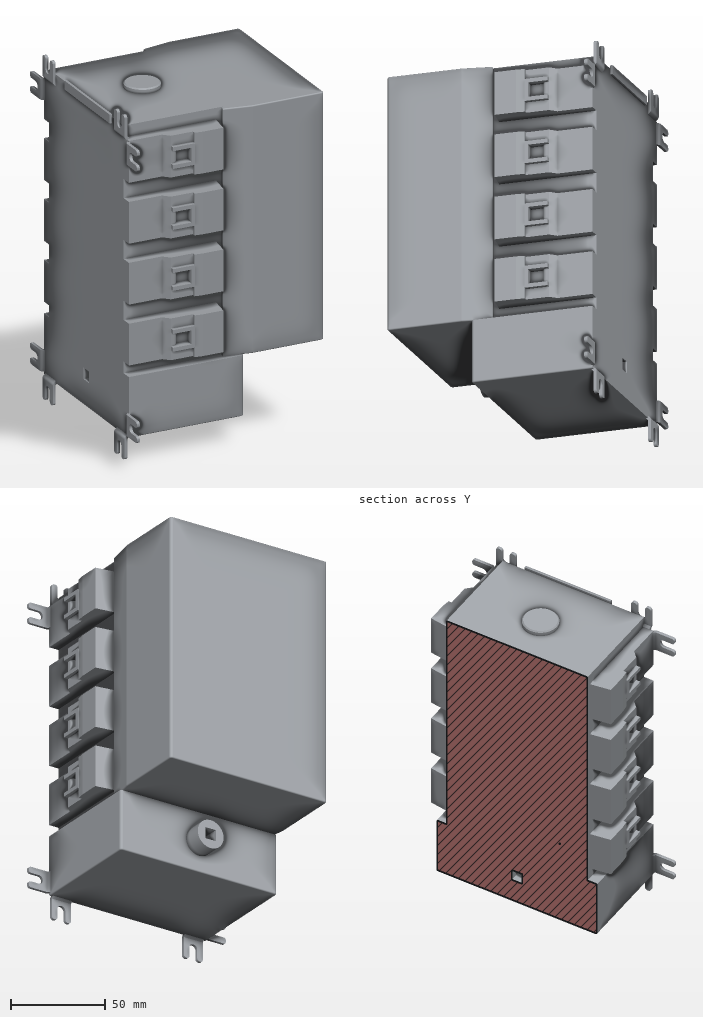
import cadquery as cq
import math

BODY_WIDTH = 100.0
BODY_HEIGHT = 177.3
BODY_DEPTH = 116.25
HALF_WIDTH = BODY_WIDTH / 2
CORNER_RADIUS = 1.5
RIM_RADIUS = 0.7
LIP_RADIUS = 0.4

BOX_HEIGHT = 35.0
BOX_DEPTH = 68.5
BUTTON_DIAMETER = 16.5
BUTTON_BACK = 79.7
BUTTON_Z = 17.65
WINDOW_SIZE = 6.5

CORE_WIDTH = 88.0
HALF_CORE = CORE_WIDTH / 2
CORE_DEPTH = 90.0
COVER_TAPER_START = 74.0
COVER_LIP_FRONT = 57.5
COVER_LIP_HALF_WIDTH = 47.0
COVER_STEP_FRONT = 58.2

CAP_DIAMETER = 20.0
CAP_HEIGHT = 3.0
CAP_CHAMFER = 0.7
CAP_Y = 33.3

STRIP_WIDTH = 53.5
STRIP_X = 3.7
STRIP_HEIGHT = 5.1
STRIP_THICKNESS = 1.5
STRIP_OVERHANG = 1.6

TERMINAL_COUNT = 4
TERMINAL_HEIGHT = 24.0
TERMINAL_PITCH = 35.0
TERMINAL_MARGIN = (
    BODY_HEIGHT - BOX_HEIGHT - TERMINAL_HEIGHT - (TERMINAL_COUNT - 1) * TERMINAL_PITCH
) / 2
TERMINAL_OUT = 56.0
TERMINAL_BACK_OUTER = 53.2
TERMINAL_BACK_INNER = 54.9
FLANK_BACK = 41.0
FLANK_DRAFT = 0.6
RECESS_BACK = 36.4
RECESS_FRONT = 23.3
RECESS_DEPTH = 2.5
RECESS_FLOOR_X = TERMINAL_OUT - RECESS_DEPTH
CHAMFER_RUN = RECESS_FLOOR_X - HALF_WIDTH

CLIP_HEIGHT = 12.4
POCKET_HEIGHT = 8.0
POCKET_BACK = 34.3
POCKET_DEPTH = 5.0
SILL_BACK = 27.1
SILL_DEPTH = 2.5
SILL_RADIUS = 2.2

TAB_REACH = 13.005
TAB_WIDTH = 12.2
TAB_THICKNESS = 1.75
TAB_SLOT_WIDTH = 5.0
TAB_SLOT_LENGTH = 9.0
TAB_TIP_RADIUS = 1.5
TAB_CORNER_OFFSET = 7.85
PLATE_HEIGHT = 171.7

CUT_MARGIN = 1.0


def make_lower_box():
    box = cq.Workplane("XY").box(BODY_WIDTH, BOX_DEPTH, BOX_HEIGHT, centered=(True, False, False))
    box = box.edges("|Z and >Y").fillet(CORNER_RADIUS)
    return box.faces("<Z").edges("not <Y").fillet(RIM_RADIUS)


def make_cover():
    step_slope = (COVER_STEP_FRONT - COVER_LIP_FRONT) / (COVER_LIP_HALF_WIDTH - HALF_CORE)
    valley_y = COVER_LIP_FRONT + step_slope * COVER_LIP_HALF_WIDTH
    right_side = [
        (COVER_LIP_HALF_WIDTH, COVER_LIP_FRONT),
        (HALF_WIDTH, COVER_TAPER_START),
        (HALF_WIDTH, BODY_DEPTH),
    ]
    left_side = [(-x, y) for x, y in reversed(right_side)]
    cover = (
        cq.Workplane("XY")
        .workplane(offset=BOX_HEIGHT)
        .moveTo(0, valley_y)
        .polyline(right_side + left_side, includeCurrent=True)
        .close()
        .extrude(BODY_HEIGHT - BOX_HEIGHT)
    )
    cover = cover.edges("|Z and >Y").fillet(CORNER_RADIUS)
    cover = cover.edges("|Z and <Y").fillet(LIP_RADIUS)
    seat = cover.intersect(
        cq.Workplane("XY")
        .box(BODY_WIDTH, BOX_DEPTH - CORNER_RADIUS, RIM_RADIUS, centered=(True, False, False))
        .translate((0, 0, BOX_HEIGHT))
    )
    return cover.faces("<Z or >Z").edges().fillet(RIM_RADIUS).union(seat)


def make_core():
    return (
        cq.Workplane("XY")
        .box(CORE_WIDTH, CORE_DEPTH, BODY_HEIGHT - BOX_HEIGHT, centered=(True, False, False))
        .translate((0, 0, BOX_HEIGHT))
    )


def make_cap():
    return (
        cq.Workplane("XY")
        .workplane(offset=BODY_HEIGHT)
        .center(0, CAP_Y)
        .circle(CAP_DIAMETER / 2)
        .extrude(CAP_HEIGHT)
        .faces(">Z")
        .chamfer(CAP_CHAMFER)
    )


def make_strip():
    bottom = BODY_HEIGHT + STRIP_OVERHANG - STRIP_HEIGHT
    return (
        cq.Workplane("XY")
        .box(STRIP_WIDTH, STRIP_THICKNESS, STRIP_HEIGHT, centered=(True, False, False))
        .translate((STRIP_X, -STRIP_THICKNESS, bottom))
    )


def make_button():
    return (
        cq.Workplane("XZ", origin=(0, BOX_DEPTH / 2, BUTTON_Z))
        .circle(BUTTON_DIAMETER / 2)
        .extrude(BOX_DEPTH / 2 - BUTTON_BACK)
    )


def make_window():
    """Square passage through the front plate, the lower box and the button."""
    length = 2 * BUTTON_BACK + CUT_MARGIN
    return cq.Workplane("XY").box(WINDOW_SIZE, length, WINDOW_SIZE).translate((0, 0, BUTTON_Z))


def make_terminal():
    """Terminal block on the +X side, standing on Z = 0."""
    inside = HALF_CORE - CUT_MARGIN
    block = (
        cq.Workplane("XY")
        .moveTo(inside, 0)
        .lineTo(HALF_WIDTH, 0)
        .lineTo(HALF_WIDTH, RECESS_FRONT - CHAMFER_RUN)
        .lineTo(RECESS_FLOOR_X, RECESS_FRONT)
        .lineTo(RECESS_FLOOR_X, RECESS_BACK)
        .lineTo(TERMINAL_OUT - FLANK_DRAFT, RECESS_BACK)
        .lineTo(TERMINAL_OUT, FLANK_BACK)
        .lineTo(TERMINAL_OUT, TERMINAL_BACK_OUTER)
        .lineTo(HALF_CORE, TERMINAL_BACK_INNER)
        .lineTo(inside, TERMINAL_BACK_INNER)
        .close()
        .extrude(TERMINAL_HEIGHT)
    )
    clip = (
        cq.Workplane("XY")
        .workplane(offset=(TERMINAL_HEIGHT - CLIP_HEIGHT) / 2)
        .moveTo(inside, RECESS_FRONT)
        .lineTo(TERMINAL_OUT, RECESS_FRONT)
        .lineTo(TERMINAL_OUT, RECESS_BACK)
        .lineTo(inside, RECESS_BACK)
        .close()
        .extrude(CLIP_HEIGHT)
    )
    sill_x = TERMINAL_OUT - SILL_DEPTH
    pocket_floor_x = TERMINAL_OUT - POCKET_DEPTH
    round_offset = SILL_RADIUS * (1 - math.sqrt(0.5))
    pocket = (
        cq.Workplane("XY")
        .workplane(offset=(TERMINAL_HEIGHT - POCKET_HEIGHT) / 2)
        .moveTo(TERMINAL_OUT + CUT_MARGIN, RECESS_FRONT - CUT_MARGIN)
        .lineTo(sill_x, RECESS_FRONT - CUT_MARGIN)
        .lineTo(sill_x, SILL_BACK - SILL_RADIUS)
        .threePointArc(
            (sill_x - round_offset, SILL_BACK - round_offset),
            (sill_x - SILL_RADIUS, SILL_BACK),
        )
        .lineTo(pocket_floor_x, SILL_BACK)
        .lineTo(pocket_floor_x, POCKET_BACK)
        .lineTo(TERMINAL_OUT + CUT_MARGIN, POCKET_BACK)
        .close()
        .extrude(POCKET_HEIGHT)
    )
    return block.union(clip).cut(pocket)


def make_tab():
    """Mounting tab reaching along +X from X = 0, centred on Z = 0, bent 45 degrees at its root."""
    bend = TAB_THICKNESS * math.sqrt(0.5)
    arc_mid = math.radians(22.5)
    sheet = (
        cq.Workplane("XY")
        .workplane(offset=-TAB_WIDTH / 2)
        .moveTo(TAB_REACH, -TAB_THICKNESS)
        .lineTo(bend, -TAB_THICKNESS)
        .threePointArc(
            (bend - TAB_THICKNESS * math.sin(arc_mid), -TAB_THICKNESS * math.cos(arc_mid)),
            (0, -bend),
        )
        .lineTo(-bend, 0)
        .lineTo(0, bend)
        .lineTo(bend, 0)
        .lineTo(TAB_REACH, 0)
        .close()
        .extrude(TAB_WIDTH)
    )
    slot_radius = TAB_SLOT_WIDTH / 2
    slot_end = TAB_REACH - TAB_SLOT_LENGTH
    slot = (
        cq.Workplane("XZ", origin=(0, TAB_THICKNESS, 0))
        .moveTo(TAB_REACH + CUT_MARGIN, slot_radius)
        .lineTo(slot_end + slot_radius, slot_radius)
        .threePointArc((slot_end, 0), (slot_end + slot_radius, -slot_radius))
        .lineTo(TAB_REACH + CUT_MARGIN, -slot_radius)
        .close()
        .extrude(2 * TAB_THICKNESS + CUT_MARGIN)
    )
    return sheet.cut(slot).edges("|Y and >X").fillet(TAB_TIP_RADIUS)


def add_terminals(body):
    right_terminal = make_terminal()
    left_terminal = right_terminal.mirror("YZ")
    for index in range(TERMINAL_COUNT):
        lift = (0, 0, BOX_HEIGHT + TERMINAL_MARGIN + index * TERMINAL_PITCH)
        body = body.union(right_terminal.translate(lift)).union(left_terminal.translate(lift))
    return body


def add_tabs(body):
    right_tab = make_tab().translate((HALF_WIDTH, 0, 0))
    left_tab = right_tab.mirror("YZ")
    origin = (0, 0, 0)
    y_axis = (0, 1, 0)
    for z in (TAB_CORNER_OFFSET, PLATE_HEIGHT - TAB_CORNER_OFFSET):
        body = body.union(right_tab.translate((0, 0, z))).union(left_tab.translate((0, 0, z)))
    top_tab = make_tab().rotate(origin, y_axis, -90).translate((0, 0, PLATE_HEIGHT))
    bottom_tab = make_tab().rotate(origin, y_axis, 90)
    tab_x = HALF_WIDTH - TAB_CORNER_OFFSET
    for x in (-tab_x, tab_x):
        body = body.union(top_tab.translate((x, 0, 0))).union(bottom_tab.translate((x, 0, 0)))
    return body


body = make_lower_box().union(make_core()).union(make_cover())
body = body.union(make_cap()).union(make_strip()).union(make_button())
body = add_terminals(body)
body = add_tabs(body)
result = body.cut(make_window())